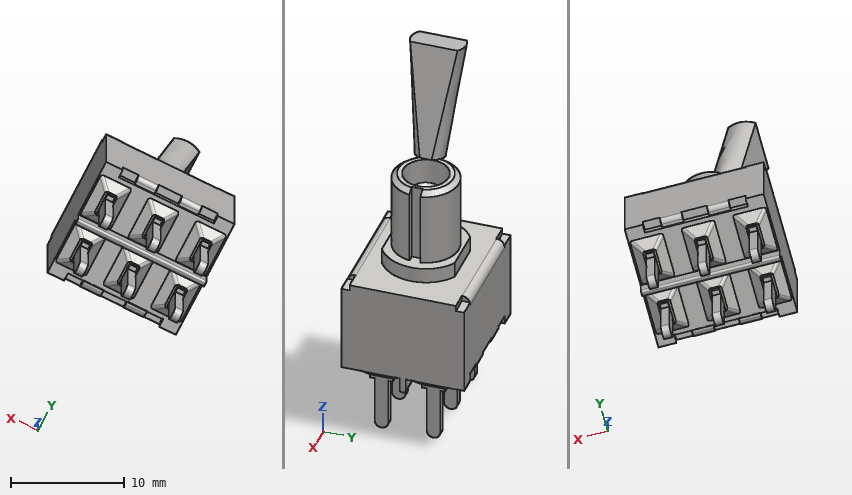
import cadquery as cq
import math


case_length = 12.7
case_width = 11.45
case_height = 8.95
sheet_thickness = 0.77
frame_length = 9.4
corner_step_height = 0.55

tab_length = 1.98
tab_pitch = 4.3
tab_height = 0.55
tab_radius = 0.45

flange_diameter = 8.0
flange_across_flats = 6.8
flange_height = 1.45
bushing_diameter = 6.13
bushing_height = 7.5
bushing_rim_width = 0.5
bushing_rim_height = 0.45
bore_diameter = 4.2
keyway_width = 1.03
keyway_floor_radius = 2.4

lever_tilt = 12.0
ball_height = 14.3
ball_radius = 2.15
socket_radius = 1.1
socket_depth = 1.1

terminal_pitch_x = 4.7
terminal_pitch_y = 4.85
terminal_reach = 6.55
terminal_thickness = 0.77
terminal_width = 1.25
shoulder_width = 2.13
shoulder_reach = 1.43
seal_depth = 0.95
seal_tip_x = 1.17
seal_tip_y = 2.35
seal_spread = 0.9
seal_corner_radius = 0.35

rib_thickness = 0.6
rib_reach = 1.43
rib_edge_radius = 0.22

total_height = 36.68
lever_axis_height = 13.8
lever_thickness = 2.55
lever_start = 5.58
lever_base_crown = 1.4
lever_base_edge = 0.55
lever_tip_crown = 2.53
lever_tip_edge = 2.2

flange_top = case_height + flange_height
bushing_top = flange_top + bushing_height
frame_wall_y = case_width / 2 - sheet_thickness


def tilted_workplane(distance):
    """Plane square to the lever axis, at a distance along it; its Y is the part's Y."""
    tilt = math.radians(lever_tilt)
    axis = cq.Vector(-math.sin(tilt), 0, math.cos(tilt))
    across = (math.cos(tilt), 0, math.sin(tilt))
    origin = cq.Vector(0, 0, lever_axis_height) + axis * distance
    return cq.Workplane(cq.Plane(origin=origin.toTuple(), xDir=across, normal=axis.toTuple()))


def block(size_x, size_y, bottom, top):
    """Box centred on the Z axis between two heights."""
    return cq.Workplane("XY").workplane(offset=bottom).rect(size_x, size_y).extrude(top - bottom)


def cylinder(diameter, bottom, top):
    """Round bar on the Z axis between two heights."""
    return cq.Workplane("XY").workplane(offset=bottom).circle(diameter / 2).extrude(top - bottom)


def make_case():
    """Block with stepped top corners, rounded folds and a recess under each fold."""
    core = block(case_length, 2 * frame_wall_y, 0, case_height)
    lower = block(case_length, case_width, 0, case_height - corner_step_height)
    frame = block(frame_length, case_width, sheet_thickness, case_height)
    frame = frame.edges("|X and >Z").fillet(sheet_thickness)
    fold_space = block(frame_length, case_width, 0, case_height)
    return lower.cut(fold_space).union(core).union(frame)


def make_tabs():
    """Four crimp tabs, each curling inward under a folded side."""
    tab = (
        cq.Workplane("XY")
        .box(tab_length, sheet_thickness, tab_height, centered=(True, False, False))
        .translate((0, frame_wall_y, sheet_thickness - tab_height))
        .edges(">Y and <Z")
        .fillet(tab_radius)
    )
    tabs = []
    for x in (-tab_pitch / 2, tab_pitch / 2):
        placed = tab.translate((x, 0, 0))
        tabs += [placed, placed.mirror("XZ")]
    return tabs


def make_bushing():
    """Flange with two flats, carrying a round bushing with a bevelled rim and a keyway."""
    flange = cylinder(flange_diameter, case_height, flange_top)
    flange = flange.intersect(block(flange_diameter, flange_across_flats, case_height, flange_top))
    tube = cylinder(bushing_diameter, flange_top, bushing_top)
    tube = tube.faces(">Z").chamfer(bushing_rim_height, bushing_rim_width)
    keyway = (
        cq.Workplane("XY")
        .box(bushing_diameter, keyway_width, bushing_height, centered=(False, True, False))
        .translate((keyway_floor_radius, 0, flange_top))
    )
    return flange.union(tube.cut(keyway))


def make_bore():
    """Space inside the bushing, above the domed pivot ball."""
    bore = cylinder(bore_diameter, ball_height, bushing_top)
    ball = cq.Workplane("XY").sphere(ball_radius).translate((0, 0, ball_height))
    return bore.cut(ball)


def make_ball_socket():
    """Conical socket in the ball, tilted like the lever."""
    rim_distance = math.sqrt(ball_radius**2 - socket_radius**2)
    apex_distance = rim_distance - socket_depth
    mouth_radius = (ball_radius - apex_distance) * socket_radius / socket_depth
    profile = [
        (0, apex_distance),
        (mouth_radius, ball_radius),
        (0, ball_radius),
    ]
    cone = cq.Workplane("XZ").polyline(profile).close().revolve(360, (0, 0, 0), (0, 1, 0))
    return cone.rotate((0, 0, 0), (0, 1, 0), -lever_tilt).translate((0, 0, ball_height))


def make_terminal():
    """Flat pin with a shoulder and round tip, in a tapered seal under the case."""
    half_width = terminal_width / 2
    half_shoulder = shoulder_width / 2
    blade = (
        cq.Workplane("YZ")
        .moveTo(-half_shoulder, 0)
        .lineTo(-half_shoulder, -shoulder_reach)
        .lineTo(-half_width, -shoulder_reach)
        .lineTo(-half_width, half_width - terminal_reach)
        .threePointArc((0, -terminal_reach), (half_width, half_width - terminal_reach))
        .lineTo(half_width, -shoulder_reach)
        .lineTo(half_shoulder, -shoulder_reach)
        .lineTo(half_shoulder, 0)
        .close()
        .extrude(terminal_thickness / 2, both=True)
    )
    seal = (
        cq.Workplane("XY")
        .rect(seal_tip_x + 2 * seal_spread, seal_tip_y + 2 * seal_spread)
        .workplane(offset=-seal_depth)
        .rect(seal_tip_x, seal_tip_y)
        .loft(ruled=True)
        .edges("not #Z")
        .fillet(seal_corner_radius)
    )
    return blade.union(seal)


def make_terminals():
    """Two rows of three terminals."""
    terminal = make_terminal()
    return [
        terminal.translate((column * terminal_pitch_x, row * terminal_pitch_y / 2, 0))
        for column in (-1, 0, 1)
        for row in (-1, 1)
    ]


def make_rib():
    """Rib along X with a rounded lower edge."""
    return block(case_length, rib_thickness, -rib_reach, 0).edges("|X and <Z").fillet(rib_edge_radius)


def make_housing():
    housing = make_case().union(make_bushing()).cut(make_bore()).cut(make_ball_socket())
    for detail in [*make_tabs(), *make_terminals(), make_rib()]:
        housing = housing.union(detail)
    return housing


def lever_section(distance, crown, edge):
    """Closed wire with two flat faces and two crowned edges."""
    half = lever_thickness / 2
    return (
        tilted_workplane(distance)
        .moveTo(-half, -edge)
        .threePointArc((0, -crown), (half, -edge))
        .lineTo(half, edge)
        .threePointArc((0, crown), (-half, edge))
        .close()
        .wire()
        .val()
    )


def make_lever():
    """Bat lever that widens toward its tip; its upper corner sets the total height."""
    tilt = math.radians(lever_tilt)
    corner_rise = lever_thickness / 2 * math.sin(tilt)
    lever_end = (total_height - terminal_reach - lever_axis_height - corner_rise) / math.cos(tilt)
    base = lever_section(lever_start, lever_base_crown, lever_base_edge)
    tip = lever_section(lever_end, lever_tip_crown, lever_tip_edge)
    return cq.Workplane(cq.Solid.makeLoft([base, tip], True))


housing = make_housing()
lever = make_lever()
result = cq.Compound.makeCompound([housing.val(), lever.val()])